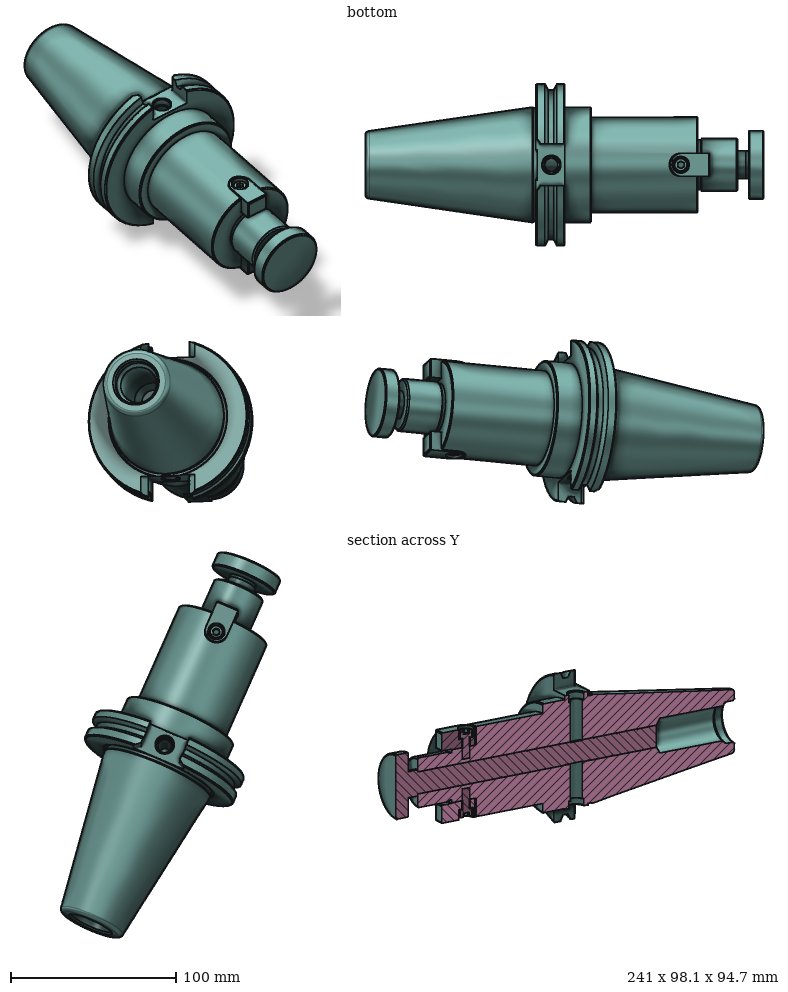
import cadquery as cq
import math

total_length = 241.0

taper_slope = 7 / 48
taper_end = 101.0
taper_big_radius = 35.0
taper_small_radius = taper_big_radius - taper_slope * taper_end
small_end_round = 2.7

neck_start = 101.7
neck_radius = 34.5
recess_depth = 1.0
recess_floor_radius = 36.1
recess_mouth_radius = 36.6

flange_start = 103.1
flange_end = 120.7
flange_radius = 49.03
flange_edge_chamfer = 0.7
groove_station = 112.3
groove_floor_width = 3.4
groove_depth = 3.5
groove_flank_run = 2.0

slot_half_width = 12.8
upper_slot_floor = 37.3
lower_slot_floor = 35.5
slot_corner_round = 0.5
slot_chamfer_width = 3.9
slot_chamfer_length = 3.0

slot_hole_station = 112.5
slot_hole_radius = 5.0
slot_hole_chamfer = 0.7
slot_hole_depth = 4.8
slot_hole_tip_radius = 3.98

collar_end = 136.5
collar_radius = 35.0
shank_end = 201.2
shank_radius = 29.0
relief_end = 203.0
relief_radius = 15.2
pilot_end = 225.3
pilot_radius = 16.02
edge_chamfer = 0.7
pilot_end_chamfer = 1.0

bore_mouth_radius = 14.2
bore_mouth_depth = 1.2
bore_radius = 13.13
bore_depth = 6.3
thread_radius = 10.96
thread_depth = 53.0
bore_cone_length = 2.5

screw_shank_radius = 6.87
screw_shank_end = thread_depth + bore_cone_length
screw_neck_radius = 8.55
screw_collar_radius = 8.5
screw_collar_start = 230.0
screw_head_start = 231.8
screw_head_radius = 20.7

key_half_width = 7.0
key_bottom = 17.0
key_top = 29.0
key_screw_station = 190.8
key_end = 208.5
key_pocket_gap = 0.7
key_screw_radius = 2.53
key_screw_clearance_radius = 2.77
key_screw_tip = 9.6
key_screw_head_radius = 4.22
key_counterbore_radius = 5.0
key_counterbore_floor = 22.6
key_screw_head_top = 27.7
key_screw_head_chamfer = 0.5
hex_across_flats = 3.9
hex_depth = 2.5

sides = (0, 180)


def turned(profile):
    """Revolve a closed (X, radius) outline about the X axis."""
    return profile.close().revolve(360, (0, 0, 0), (1, 0, 0))


def upright_cylinder(station, radius, bottom, top):
    """Cylinder parallel to Z, centred over the axis."""
    return cq.Workplane("XY", origin=(station, 0, bottom)).circle(radius).extrude(top - bottom)


def about_axis(body, angle):
    return body.rotate((0, 0, 0), (1, 0, 0), angle)


def holder_blank():
    groove_left = groove_station - groove_floor_width / 2
    groove_right = groove_station + groove_floor_width / 2
    groove_floor_radius = flange_radius - groove_depth
    taper = (
        cq.Workplane("XY")
        .moveTo(0, 0)
        .lineTo(0, taper_small_radius)
        .lineTo(taper_end, taper_big_radius)
        .lineTo(neck_start, neck_radius)
        .lineTo(flange_start + recess_depth, neck_radius)
        .lineTo(flange_start + recess_depth, recess_floor_radius)
        .lineTo(flange_start, recess_mouth_radius)
    )
    flange = (
        taper.lineTo(flange_start, flange_radius - flange_edge_chamfer)
        .lineTo(flange_start + flange_edge_chamfer, flange_radius)
        .lineTo(groove_left - groove_flank_run, flange_radius)
        .lineTo(groove_left, groove_floor_radius)
        .lineTo(groove_right, groove_floor_radius)
        .lineTo(groove_right + groove_flank_run, flange_radius)
        .lineTo(flange_end - flange_edge_chamfer, flange_radius)
        .lineTo(flange_end, flange_radius - flange_edge_chamfer)
    )
    nose = (
        flange.lineTo(flange_end, collar_radius)
        .lineTo(collar_end - edge_chamfer, collar_radius)
        .lineTo(collar_end, collar_radius - edge_chamfer)
        .lineTo(collar_end, shank_radius)
        .lineTo(shank_end - edge_chamfer, shank_radius)
        .lineTo(shank_end, shank_radius - edge_chamfer)
        .lineTo(shank_end, relief_radius)
        .lineTo(relief_end, relief_radius)
        .lineTo(relief_end + edge_chamfer, pilot_radius)
        .lineTo(pilot_end - pilot_end_chamfer, pilot_radius)
        .lineTo(pilot_end, pilot_radius - pilot_end_chamfer)
        .lineTo(pilot_end, 0)
    )
    return turned(nose).faces("<X").edges().fillet(small_end_round)


def bore():
    """Stepped bore from the small end, narrowing to the clamping screw's hole."""
    return turned(
        cq.Workplane("XY")
        .moveTo(0, 0)
        .lineTo(0, bore_mouth_radius)
        .lineTo(bore_mouth_depth, bore_radius)
        .lineTo(bore_depth, bore_radius)
        .lineTo(bore_depth + bore_radius - thread_radius, thread_radius)
        .lineTo(thread_depth, thread_radius)
        .lineTo(screw_shank_end, screw_shank_radius)
        .lineTo(pilot_end, screw_shank_radius)
        .lineTo(pilot_end, 0)
    )


def drive_slot(slot_floor):
    """Slot over the full flange width, its mouth widened by chamfers at the taper side."""
    mouth_half_width = slot_half_width + slot_chamfer_width
    return (
        cq.Workplane("XY", origin=(0, 0, slot_floor))
        .moveTo(flange_start, -mouth_half_width)
        .lineTo(flange_start + slot_chamfer_length, -slot_half_width)
        .lineTo(flange_end, -slot_half_width)
        .lineTo(flange_end, slot_half_width)
        .lineTo(flange_start + slot_chamfer_length, slot_half_width)
        .lineTo(flange_start, mouth_half_width)
        .close()
        .extrude(flange_radius - slot_floor)
        .faces("<Z")
        .edges("not #X")
        .fillet(slot_corner_round)
    )


def slot_hole(slot_floor):
    """Countersunk two-step hole along Z, from the axis up to the slot floor."""
    step = slot_floor - slot_hole_depth
    return (
        cq.Workplane("XZ", origin=(slot_hole_station, 0, 0))
        .lineTo(slot_hole_tip_radius, 0)
        .lineTo(slot_hole_tip_radius, step)
        .lineTo(slot_hole_radius, step)
        .lineTo(slot_hole_radius, slot_floor - slot_hole_chamfer)
        .lineTo(slot_hole_radius + slot_hole_chamfer, slot_floor)
        .lineTo(0, slot_floor)
        .close()
        .revolve(360, (0, 0, 0), (0, 1, 0))
    )


def key_block(round_station, top):
    """Upright block, round at the taper side and square at the nose side."""
    return (
        cq.Workplane("XY", origin=(0, 0, key_bottom))
        .moveTo(key_end, -key_half_width)
        .lineTo(key_end, key_half_width)
        .lineTo(round_station, key_half_width)
        .threePointArc(
            (round_station - key_half_width, 0),
            (round_station, -key_half_width),
        )
        .close()
        .extrude(top - key_bottom)
    )


def make_holder():
    holder = holder_blank().cut(bore())
    key_pocket = key_block(key_screw_station, shank_radius + edge_chamfer)
    thread_hole = upright_cylinder(key_screw_station, key_screw_radius, key_screw_tip, key_bottom)
    for angle, slot_floor in zip(sides, (upper_slot_floor, lower_slot_floor)):
        for cutter in (drive_slot(slot_floor), slot_hole(slot_floor), key_pocket, thread_hole):
            holder = holder.cut(about_axis(cutter, angle))
    return holder


def make_clamping_screw():
    return turned(
        cq.Workplane("XY")
        .moveTo(screw_shank_end, 0)
        .lineTo(screw_shank_end, screw_shank_radius)
        .lineTo(pilot_end, screw_shank_radius)
        .lineTo(pilot_end, screw_neck_radius)
        .lineTo(screw_collar_start, screw_neck_radius)
        .lineTo(screw_collar_start, screw_collar_radius)
        .lineTo(screw_head_start, screw_collar_radius)
        .lineTo(screw_head_start, screw_head_radius - edge_chamfer)
        .lineTo(screw_head_start + edge_chamfer, screw_head_radius)
        .lineTo(total_length - edge_chamfer, screw_head_radius)
        .lineTo(total_length, screw_head_radius - edge_chamfer)
        .lineTo(total_length, 0)
    )


def make_key():
    clearance = upright_cylinder(key_screw_station, key_screw_clearance_radius, key_bottom, key_top)
    counterbore = upright_cylinder(
        key_screw_station, key_counterbore_radius, key_counterbore_floor, key_top
    )
    key = key_block(key_screw_station + key_pocket_gap, key_top).faces(">X").chamfer(edge_chamfer)
    return key.cut(clearance).cut(counterbore)


def make_key_screw():
    shank = upright_cylinder(key_screw_station, key_screw_radius, key_screw_tip, key_screw_head_top)
    head = upright_cylinder(
        key_screw_station, key_screw_head_radius, key_counterbore_floor, key_screw_head_top
    )
    head = head.faces(">Z").chamfer(key_screw_head_chamfer)
    hex_across_corners = hex_across_flats / math.cos(math.radians(30))
    socket = (
        cq.Workplane("XY", origin=(key_screw_station, 0, key_screw_head_top))
        .transformed(rotate=(0, 0, 90))
        .polygon(6, hex_across_corners)
        .extrude(-hex_depth)
    )
    return shank.union(head).cut(socket)


holder = make_holder()
clamping_screw = make_clamping_screw()
keys = [about_axis(make_key(), angle) for angle in sides]
key_screws = [about_axis(make_key_screw(), angle) for angle in sides]

bodies = [holder, clamping_screw, *keys, *key_screws]
result = cq.Compound.makeCompound([body.val() for body in bodies])